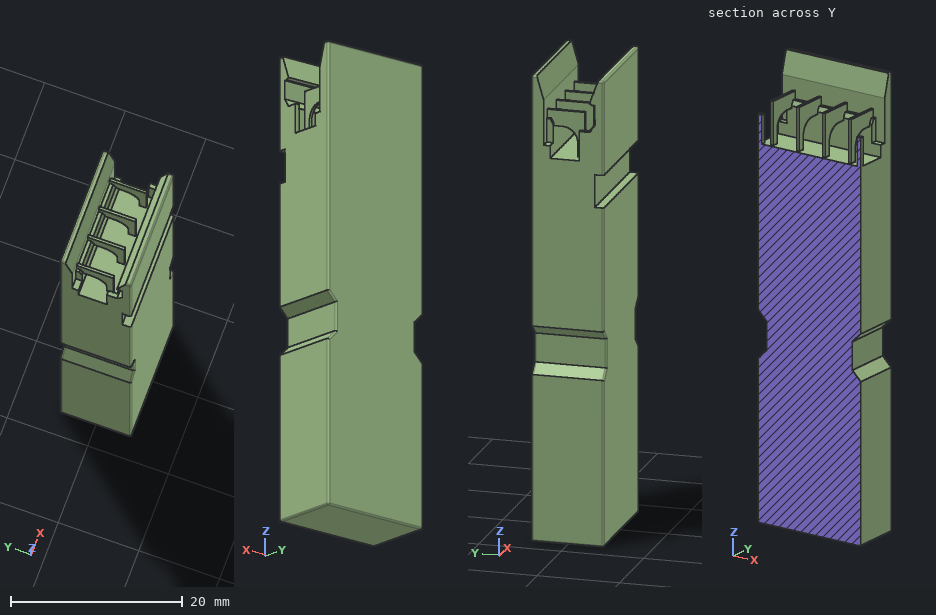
import cadquery as cq

WIDTH = 14.6
DEPTH = 8.8
HEIGHT = 56.8
EDGE_RADIUS = 0.2

NOTCH_Z = 23.3
NOTCH_DEPTH = 1.2
NOTCH_INNER_HEIGHT = 3.5
NOTCH_OUTER_HEIGHT = 5.9

GROOVE_DEPTH = 1.1
GROOVE_BOTTOM_Z = 41.35
GROOVE_TOP_Z = 45.3

WALL_TIP = 0.7
TAPER_BOTTOM_Z = 53.95
BACK_WALL_Y = 2.9
BACK_LEDGE_Z = 48.4
LIP_Y = -2.65
LIP_ROOT_Z = 53.75
LIP_ROOT_Y = -3.0
FRONT_WALL_Y = -DEPTH / 2 + GROOVE_DEPTH
FRONT_LEDGE_Y = -2.65
FRONT_LEDGE_Z = 50.45
FRONT_BEVEL_TOP_Z = 51.45

CHANNEL_BACK_Y = 2.1
CHANNEL_FRONT_Y = -1.4
CHANNEL_FLOOR_Z = 46.85
POCKET_FRONT_Y = -2.5
END_WALL = 0.55

RAIL_LENGTH = 12.1
RAIL_TOP_Z = 51.3
RAIL_BEVEL_DEPTH = 0.35
RAIL_BEVEL_HEIGHT = 0.6

RIB_COUNT = 4
RIB_PITCH = 3.7
RIB_THICKNESS = 0.35
RIB_TOP_Z = 52.3
RIB_FRONT_Y = -1.65
ARCH_TOP_Z = 50.4
ARCH_FRONT_Y = -0.8
ARCH_RADIUS = 1.9


def block(x_size, y_min, y_max, z_min, z_max, x_center=0.0):
    """Box centred at x_center, spanning the given Y and Z limits."""
    size = (x_size, y_max - y_min, z_max - z_min)
    return cq.Workplane("XY").box(*size, centered=(True, False, False)).translate((x_center, y_min, z_min))


def extrude_across(points, length):
    """Extrude a closed (y, z) outline symmetrically along X."""
    return cq.Workplane("YZ", origin=(-length / 2, 0, 0)).polyline(points).close().extrude(length)


def make_body():
    """Bar with a notch in each narrow side and its outer edges rounded."""
    half_width = WIDTH / 2
    waist = half_width - NOTCH_DEPTH
    right_side = [
        (half_width, 0),
        (half_width, NOTCH_Z - NOTCH_OUTER_HEIGHT / 2),
        (waist, NOTCH_Z - NOTCH_INNER_HEIGHT / 2),
        (waist, NOTCH_Z + NOTCH_INNER_HEIGHT / 2),
        (half_width, NOTCH_Z + NOTCH_OUTER_HEIGHT / 2),
        (half_width, HEIGHT),
    ]
    left_side = [(-x, z) for x, z in reversed(right_side)]
    back_plane = cq.Workplane("XZ", origin=(0, DEPTH / 2, 0))
    body = back_plane.polyline(right_side + left_side).close().extrude(DEPTH)
    return body.faces("<Y or >Y or <Z or >Z").edges().fillet(EDGE_RADIUS)


def make_groove():
    """Cutter for the groove across the front face."""
    front_y = -DEPTH / 2
    return block(WIDTH, front_y, front_y + GROOVE_DEPTH, GROOVE_BOTTOM_Z, GROOVE_TOP_Z)


def make_opening():
    """Cutter for the open top, the through channel and the pocket behind its end walls."""
    tip_y = DEPTH / 2 - WALL_TIP
    outline = [
        (tip_y, HEIGHT),
        (BACK_WALL_Y, TAPER_BOTTOM_Z),
        (BACK_WALL_Y, BACK_LEDGE_Z),
        (CHANNEL_BACK_Y, BACK_LEDGE_Z),
        (CHANNEL_BACK_Y, CHANNEL_FLOOR_Z),
        (CHANNEL_FRONT_Y, CHANNEL_FLOOR_Z),
        (CHANNEL_FRONT_Y, FRONT_LEDGE_Z),
        (FRONT_LEDGE_Y, FRONT_LEDGE_Z),
        (FRONT_WALL_Y, FRONT_BEVEL_TOP_Z),
        (FRONT_WALL_Y, LIP_ROOT_Z),
        (LIP_ROOT_Y, LIP_ROOT_Z),
        (LIP_Y, TAPER_BOTTOM_Z),
        (-tip_y, HEIGHT),
    ]
    pocket_length = WIDTH - 2 * END_WALL
    pocket = block(pocket_length, POCKET_FRONT_Y, CHANNEL_BACK_Y, CHANNEL_FLOOR_Z, FRONT_LEDGE_Z)
    return extrude_across(outline, WIDTH).union(pocket)


def make_rail():
    """Rail standing on the back ledge, its free top edge steeply bevelled."""
    outline = [
        (BACK_WALL_Y, BACK_LEDGE_Z),
        (BACK_WALL_Y, RAIL_TOP_Z),
        (CHANNEL_BACK_Y + RAIL_BEVEL_DEPTH, RAIL_TOP_Z),
        (CHANNEL_BACK_Y, RAIL_TOP_Z - RAIL_BEVEL_HEIGHT),
        (CHANNEL_BACK_Y, BACK_LEDGE_Z),
    ]
    return extrude_across(outline, RAIL_LENGTH)


def make_ribs():
    """Row of thin ribs from the back wall, arched where the channel passes through."""
    arch = block(WIDTH, ARCH_FRONT_Y, CHANNEL_BACK_Y, CHANNEL_FLOOR_Z, ARCH_TOP_Z)
    arch = arch.edges(">Z and <Y").fillet(ARCH_RADIUS)
    ribs = cq.Workplane("XY")
    for index in range(RIB_COUNT):
        x = (index - (RIB_COUNT - 1) / 2) * RIB_PITCH
        upper = block(RIB_THICKNESS, RIB_FRONT_Y, BACK_WALL_Y, BACK_LEDGE_Z, RIB_TOP_Z, x)
        foot = block(RIB_THICKNESS, RIB_FRONT_Y, CHANNEL_BACK_Y, CHANNEL_FLOOR_Z, BACK_LEDGE_Z, x)
        ribs = ribs.add(upper.union(foot).cut(arch))
    return ribs.combine()


body = make_body().cut(make_groove()).cut(make_opening())
result = body.union(make_rail()).union(make_ribs())